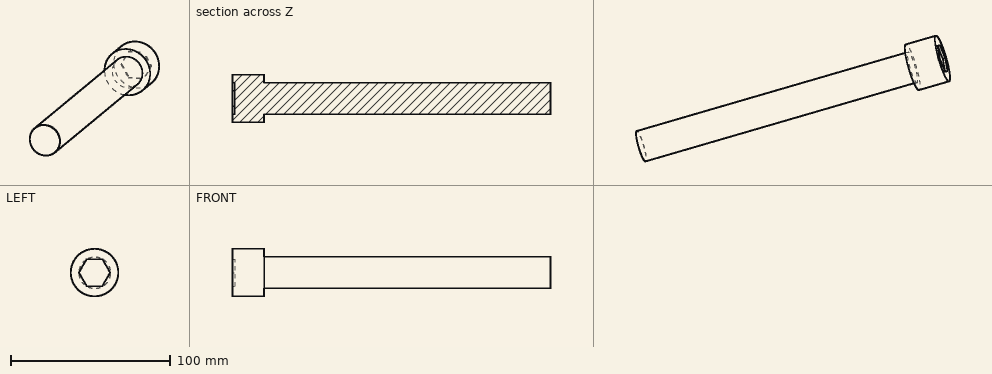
import cadquery as cq
import math

shank_diameter = 20.0
overall_length = 200.0
head_diameter = 1.5 * shank_diameter
head_height = shank_diameter
tip_chamfer = 0.2

socket_sides = 6
socket_across_flats = 17.0
socket_depth = 1.5


def make_body():
    """Head and shank as two coaxial cylinders, with a chamfered tip."""
    head = cq.Workplane("YZ").circle(head_diameter / 2).extrude(head_height)
    shank = cq.Workplane("YZ").circle(shank_diameter / 2).extrude(overall_length)
    shank = shank.faces(">X").chamfer(tip_chamfer)
    return head.union(shank)


def make_socket():
    """Hexagonal recess with two corners on the Y axis."""
    across_corners = socket_across_flats / math.cos(math.pi / socket_sides)
    return cq.Workplane("YZ").polygon(socket_sides, across_corners).extrude(socket_depth)


result = make_body().cut(make_socket())